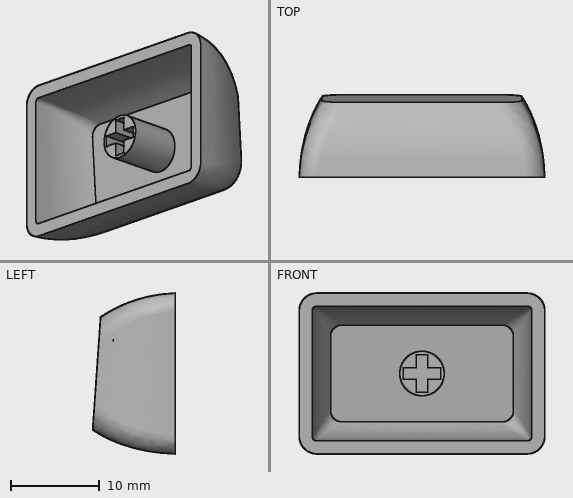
import cadquery as cq

key_unit = 19.05
width_units = 1.5
base_height = 18.1
base_width = base_height + key_unit * (width_units - 1)
base_corner = 2.0

top_width = 22.4
top_height = 12.7
top_corner = 2.75
top_rise = 8.87
tilt = 4.0

mid_fraction = 0.5
mid_shape_share = mid_fraction ** 2

wall = 1.5
opening_width = base_width - 2 * wall
opening_height = base_height - 2 * wall
opening_corner = 0.4
floor_width = 20.55
floor_height = 10.9
floor_corner = 1.25
floor_rise = 7.25

stem_diameter = 5.0
stem_start = 1.0
cross_length = 4.25
cross_slot = 1.25
cross_depth = 4.0


def plane_at(rise):
    """Plane facing +Y at the given Y, with its second axis along Z."""
    return cq.Plane(origin=(0, rise, 0), xDir=(-1, 0, 0), normal=(0, 1, 0))


def section_wire(width, height, corner, rise, angle):
    """Rounded rectangle tilted about X so that its lower edge lies farther out along +Y."""
    outline = cq.Sketch().rect(width, height).vertices().fillet(corner).reset()
    plane = plane_at(rise).rotated((-angle, 0, 0))
    return outline.faces().val().outerWire().moved(cq.Location(plane))


def curved_block(base, top):
    """Block whose sides start square to the base and curve inward up to the tilted top.

    base and top are (width, height, corner) sizes plus the rise and tilt angle.
    """
    shares = (mid_shape_share, mid_shape_share, mid_shape_share, mid_fraction, mid_fraction)
    middle = [start + (end - start) * share for start, end, share in zip(base, top, shares)]
    wires = [section_wire(*section) for section in (base, middle, top)]
    return cq.Workplane(cq.Solid.makeLoft(wires))


def make_hollow():
    """Space inside the cap."""
    return curved_block(
        (opening_width, opening_height, opening_corner, 0, 0),
        (floor_width, floor_height, floor_corner, floor_rise, tilt),
    )


def make_cap(hollow):
    """Keycap shell."""
    outer = curved_block(
        (base_width, base_height, base_corner, 0, 0),
        (top_width, top_height, top_corner, top_rise, tilt),
    )
    return outer.cut(hollow)


def make_stem(hollow):
    """Round stem that ends on the tilted floor of the cap, with a blind cross socket."""
    start = cq.Workplane(plane_at(stem_start))
    stem = start.circle(stem_diameter / 2).extrude(top_rise - stem_start).intersect(hollow)
    for width, height in ((cross_length, cross_slot), (cross_slot, cross_length)):
        stem = stem.cut(start.rect(width, height).extrude(cross_depth))
    return stem


hollow = make_hollow()
cap = make_cap(hollow)
stem = make_stem(hollow)

result = cq.Compound.makeCompound([cap.val(), stem.val()])